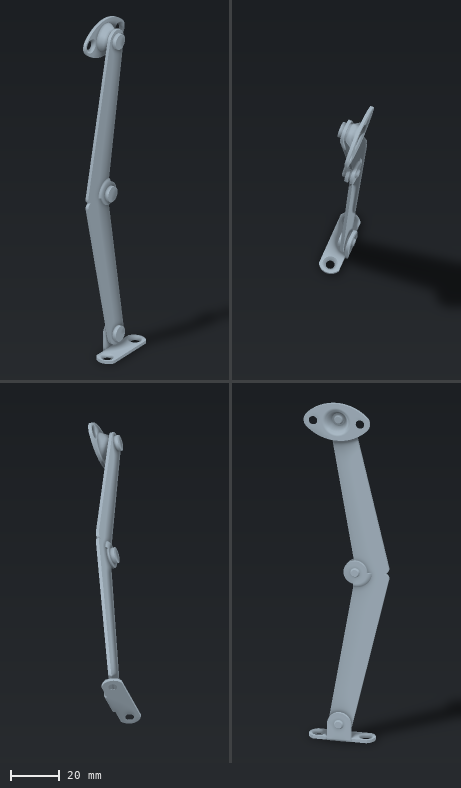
import cadquery as cq
import math


sheet = 1.3
washer_thickness = 0.9
cup_depth = 4.9
arm_back_x = cup_depth + washer_thickness
arm_mid_x = arm_back_x + sheet / 2
arm_front_x = arm_back_x + sheet

total_height = 148.6
plate_height = 16.0
bottom_pivot_z = 7.6
top_pivot_z = total_height - plate_height / 2
joint_y = -6.7
joint_z = (top_pivot_z + bottom_pivot_z) / 2

pin_diameter = 4.0
pin_tip_length = 0.9
pin_tip_diameter = 3.0
pin_length = sheet + washer_thickness + sheet + pin_tip_length
head_diameter = 6.7
head_thickness = 1.8
washer_diameter = 7.6

screw_spacing = 19.9
screw_diameter = 3.5
countersink_diameter = 6.2
countersink_angle = 90

plate_length = 28.0
cup_mouth_radius = 5.3
cup_floor_radius = 2.8
cup_base_radius = 6.2
cup_end_radius = 4.0
cup_mouth_fillet = 1.5

eye_diameter = 10.0
eye_radius = eye_diameter / 2
joint_width = 14.4
corner_fillet = 2.1
step_bend_radius = 1.8
upper_step = washer_thickness
lower_step = sheet

bracket_outer_x = 13.7
flange_x = cup_depth - sheet
foot_end_radius = eye_radius
bend_radius = 1.2


def x_cylinder(diameter, x_start, x_end, y=0, z=0):
    """Cylinder parallel to X."""
    return (
        cq.Workplane("YZ", origin=(x_start, y, z))
        .circle(diameter / 2)
        .extrude(x_end - x_start)
    )


def revolve_about_x(profile):
    """Solid of revolution about X from (x, radius) points."""
    return cq.Workplane("XY").polyline(profile).close().revolve(360, (0, 0, 0), (1, 0, 0))


def make_cup():
    """Pointed oval plate, countersunk on its +X face, with a conical cup pressed out of its middle."""
    half_height = plate_height / 2
    hole_y = screw_spacing / 2
    end_radius = plate_length / 2 - hole_y
    flank_radius = (hole_y**2 + half_height**2 - end_radius**2) / (2 * (half_height - end_radius))
    flank_centre_z = half_height - flank_radius
    reach = flank_radius / (flank_radius - end_radius)
    tangent_y = hole_y * reach
    tangent_z = flank_centre_z * (1 - reach)
    plate = (
        cq.Workplane("YZ")
        .moveTo(-tangent_y, tangent_z)
        .threePointArc((0, half_height), (tangent_y, tangent_z))
        .threePointArc((plate_length / 2, 0), (tangent_y, -tangent_z))
        .threePointArc((0, -half_height), (-tangent_y, -tangent_z))
        .threePointArc((-plate_length / 2, 0), (-tangent_y, tangent_z))
        .close()
        .extrude(sheet)
        .faces(">X")
        .workplane(origin=(sheet, 0, 0))
        .pushPoints([(-hole_y, 0), (hole_y, 0)])
        .cskHole(screw_diameter, countersink_diameter, countersink_angle)
    )
    cone = revolve_about_x([
        (0, 0), (0, cup_base_radius), (sheet, cup_base_radius), (cup_depth, cup_end_radius), (cup_depth, 0),
    ])
    hollow = revolve_about_x([
        (0, 0), (0, cup_mouth_radius), (cup_depth - sheet, cup_floor_radius), (cup_depth - sheet, 0),
    ])
    cup = plate.union(cone).cut(hollow)
    cup = cup.edges(cq.selectors.NearestToPointSelector((0, 0, 0))).fillet(cup_mouth_fillet)
    cup = cup.cut(x_cylinder(pin_diameter, 0, cup_depth))
    return cup.translate((0, 0, top_pivot_z))


def tangent_point(corner, centre, side):
    """Point where the line from corner touches the eye circle at centre; side is +1 or -1."""
    dy = corner[0] - centre[0]
    dz = corner[1] - centre[1]
    angle = math.atan2(dz, dy) + side * math.acos(eye_radius / math.hypot(dy, dz))
    return (centre[0] + eye_radius * math.cos(angle), centre[1] + eye_radius * math.sin(angle))


def blade(thickness):
    """Flat tapering blade centred on X = 0, with the joint at the origin and the eye above it."""
    eye = (-joint_y, top_pivot_z - joint_z)
    outer_corner = (-joint_width, 0)
    eye_top = (eye[0], eye[1] + eye_radius)
    return (
        cq.Workplane("YZ")
        .polyline([tangent_point(outer_corner, eye, -1), outer_corner, (0, 0), tangent_point((0, 0), eye, 1)])
        .threePointArc(eye_top, tangent_point(outer_corner, eye, -1))
        .close()
        .extrude(thickness / 2, both=True)
        .edges("|X and <Y")
        .fillet(corner_fillet)
    )


def make_arm(step):
    """Arm with its joint at the origin; the joint disc is stepped towards +X by the given amount."""
    half = sheet / 2
    crown_x = half + step
    bend_centre_x = crown_x - step_bend_radius
    foot_angle = math.acos((half - bend_centre_x) / step_bend_radius)

    def bend_point(angle):
        """(x, radius) point on the rounded rim of the step, with angle measured from +X."""
        return (
            bend_centre_x + step_bend_radius * math.cos(angle),
            eye_radius + step_bend_radius * math.sin(angle),
        )

    bulge = (
        cq.Workplane("XY")
        .moveTo(-half, 0)
        .lineTo(crown_x, 0)
        .lineTo(crown_x, eye_radius)
        .threePointArc(bend_point(foot_angle / 2), bend_point(foot_angle))
        .lineTo(-half, bend_point(foot_angle)[1])
        .close()
        .revolve(360, (0, 0, 0), (1, 0, 0))
        .intersect(blade(2 * crown_x))
    )
    pocket = x_cylinder(eye_diameter, -half, step - half)
    disc = x_cylinder(eye_diameter, step - half, crown_x)
    joint_hole = x_cylinder(pin_diameter, step - half, crown_x)
    eye_hole = x_cylinder(pin_diameter, -half, half, -joint_y, top_pivot_z - joint_z)
    return blade(sheet).union(bulge).cut(pocket).union(disc).cut(joint_hole).cut(eye_hole)


def make_bracket():
    """Angle bracket: a countersunk foot and an upright round-topped flange."""
    half_length = plate_length / 2
    foot_mid_x = (cup_depth + bracket_outer_x) / 2
    half_width = (bracket_outer_x - cup_depth) / 2
    side_end = half_length - foot_end_radius + math.sqrt(foot_end_radius**2 - half_width**2)
    foot = (
        cq.Workplane("XY")
        .moveTo(cup_depth, -side_end)
        .threePointArc((foot_mid_x, -half_length), (bracket_outer_x, -side_end))
        .lineTo(bracket_outer_x, side_end)
        .threePointArc((foot_mid_x, half_length), (cup_depth, side_end))
        .close()
        .extrude(sheet)
        .faces(">Z")
        .workplane(origin=(foot_mid_x, 0, sheet))
        .pushPoints([(0, -screw_spacing / 2), (0, screw_spacing / 2)])
        .cskHole(screw_diameter, countersink_diameter, countersink_angle)
    )
    flange = (
        cq.Workplane("YZ", origin=(flange_x, 0, 0))
        .moveTo(-eye_radius, 0)
        .lineTo(eye_radius, 0)
        .lineTo(eye_radius, bottom_pivot_z)
        .threePointArc((0, bottom_pivot_z + eye_radius), (-eye_radius, bottom_pivot_z))
        .close()
        .extrude(sheet)
        .edges("<X and <Z")
        .fillet(bend_radius)
    )
    return foot.union(flange).cut(x_cylinder(pin_diameter, flange_x, cup_depth, 0, bottom_pivot_z))


def make_rivet(head_x, y, z):
    """Pin tapering at its -X end, with a round head whose underside lies at head_x."""
    tip_end = -pin_length
    tip_start = tip_end + pin_tip_length
    rivet = revolve_about_x([
        (tip_end, 0),
        (tip_end, pin_tip_diameter / 2),
        (tip_start, pin_diameter / 2),
        (0, pin_diameter / 2),
        (0, head_diameter / 2),
        (head_thickness, head_diameter / 2),
        (head_thickness, 0),
    ])
    return rivet.translate((head_x, y, z))


def make_washer(x, y, z):
    """Spacer washer whose -X face lies at x."""
    ring = x_cylinder(washer_diameter, x, x + washer_thickness, y, z)
    return ring.cut(x_cylinder(pin_diameter, x, x + washer_thickness, y, z))


cup_plate = make_cup()
bracket = make_bracket()

arms = [
    make_arm(step).rotate((0, 0, 0), (0, 1, 0), turn).translate((arm_mid_x, joint_y, joint_z))
    for step, turn in [(upper_step, 0), (lower_step, 180)]
]

pivots = [
    (arm_front_x, cup_depth, 0, top_pivot_z),
    (arm_front_x + upper_step, arm_front_x - lower_step, joint_y, joint_z),
    (arm_front_x, cup_depth, 0, bottom_pivot_z),
]
rivets = []
washers = []
for head_x, washer_x, y, z in pivots:
    rivets.append(make_rivet(head_x, y, z))
    washers.append(make_washer(washer_x, y, z))

bodies = [cup_plate, bracket, *arms, *rivets, *washers]
result = cq.Compound.makeCompound([body.val() for body in bodies])